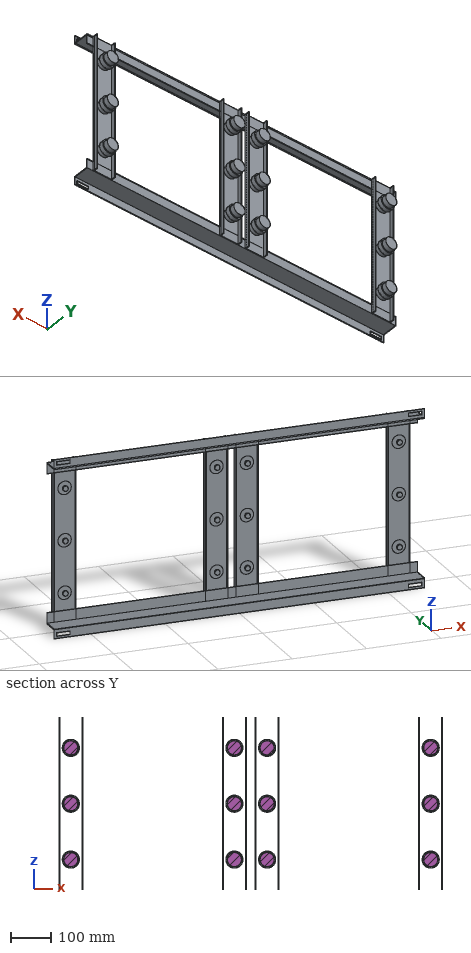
import cadquery as cq

frame_length = 996.0
frame_height = 476.0
frame_depth = 92.0
sheet = 2.5

rail_depth = 50.0
front_flange = 26.0
back_flange = 30.0
web_offset = front_flange - sheet

slot_length = 36.0
slot_height = 9.0
slot_end_gap = 7.0
slot_edge_gap = 6.0

upright_width = 60.0
upright_depth = 15.0
outer_upright_inset = 49.0
inner_upright_inset = 457.0
upright_height = frame_height - 2 * web_offset

foot_pitch = 139.0
neck_diameter = 36.0
collar_diameter = 43.0
cap_diameter = 36.0
collar_start = 65.0
cap_start = 78.0
screw_diameter = 14.0
screw_projection = 5.0

mid_z = frame_height / 2
upright_back = rail_depth + upright_depth
upright_centers = [
    outer_upright_inset,
    inner_upright_inset,
    frame_length - inner_upright_inset,
    frame_length - outer_upright_inset,
]


def block(x_range, y_range, z_range):
    """Box given by its start and end along each axis."""
    (x0, x1), (y0, y1), (z0, z1) = x_range, y_range, z_range
    return cq.Workplane("XY").box(x1 - x0, y1 - y0, z1 - z0, centered=False).translate((x0, y0, z0))


def disc(x, z, diameter, y_start, y_end):
    """Round bar along Y."""
    axis_plane = cq.Plane(origin=(x, y_start, z), xDir=(1, 0, 0), normal=(0, 1, 0))
    return cq.Workplane(axis_plane).circle(diameter / 2).extrude(y_end - y_start)


def bottom_rail():
    """Z section: front flange down, flat web, back flange up, with a slot at each end."""
    full_length = (0, frame_length)
    web_top = web_offset + sheet
    rail = block(full_length, (0, sheet), (0, front_flange))
    rail = rail.union(block(full_length, (0, rail_depth), (web_offset, web_top)))
    rail = rail.union(
        block(full_length, (rail_depth - sheet, rail_depth), (web_offset, web_offset + back_flange))
    )
    slot_z = (slot_edge_gap, slot_edge_gap + slot_height)
    for slot_start in (slot_end_gap, frame_length - slot_end_gap - slot_length):
        rail = rail.cut(block((slot_start, slot_start + slot_length), (0, sheet), slot_z))
    return rail


def upright(x):
    """Channel with its web against the rails and its flanges pointing back."""
    x_range = (x - upright_width / 2, x + upright_width / 2)
    z_range = (web_offset, web_offset + upright_height)
    hollow_x = (x_range[0] + sheet, x_range[1] - sheet)
    channel = block(x_range, (rail_depth, upright_back), z_range)
    return channel.cut(block(hollow_x, (rail_depth + sheet, upright_back), z_range))


def foot(x, z):
    """Neck, wider collar and cap behind the upright, and the screw in front of it."""
    screw = disc(x, z, screw_diameter, rail_depth - screw_projection, rail_depth + sheet)
    neck = disc(x, z, neck_diameter, rail_depth + sheet, collar_start)
    collar = disc(x, z, collar_diameter, collar_start, cap_start)
    cap = disc(x, z, cap_diameter, cap_start, frame_depth)
    return screw.union(neck).union(collar).union(cap)


lower = bottom_rail()
upper = lower.mirror("XY", (0, 0, mid_z))
result = lower.union(upper)
for upright_x in upright_centers:
    result = result.union(upright(upright_x))
    for row in (-1, 0, 1):
        result = result.union(foot(upright_x, mid_z + row * foot_pitch))